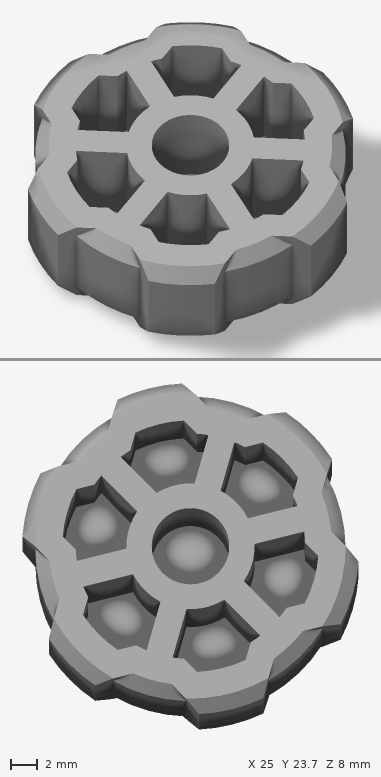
import cadquery as cq

height = 8.0
chamfer = 1.0
lobe_count = 6
lobe_pitch = 360.0 / lobe_count

lobe_radius = 12.5
valley_radius = lobe_radius - 1.0
flank_distance = 8.26

rim_thickness = 3.0
flank_offset = 2.0
spoke_width = 2.0
hub_diameter = 9.5
bore_diameter = 5.75
floor_thickness = 1.0
cavity_depth = height - floor_thickness


def disc(radius, depth, base):
    return cq.Workplane("XY").workplane(offset=base).circle(radius).extrude(depth)


def star(inradius, depth, base):
    """Six-pointed prism of two crossed triangles, with a point toward each lobe."""
    tip_radius = 2 * inradius
    prism = cq.Workplane("XY").workplane(offset=base)
    triangle = prism.polygon(3, 2 * tip_radius).extrude(depth)
    return triangle.union(triangle.rotate((0, 0, 0), (0, 0, 1), lobe_pitch))


def beveled_disc(radius):
    return disc(radius, height, 0).edges("%CIRCLE").chamfer(chamfer)


def lobed_body():
    """Beveled valley disc with six lobes whose flanks stay vertical."""
    lobes = beveled_disc(lobe_radius).intersect(star(flank_distance, height, 0))
    return beveled_disc(valley_radius).union(lobes)


def pockets():
    """Pocket volume that follows the lobed rim, divided by the hub and spokes."""
    lobes = disc(lobe_radius - rim_thickness, cavity_depth, floor_thickness)
    lobes = lobes.intersect(star(flank_distance - flank_offset, cavity_depth, floor_thickness))
    volume = disc(valley_radius - rim_thickness, cavity_depth, floor_thickness).union(lobes)
    volume = volume.cut(disc(hub_diameter / 2, cavity_depth, floor_thickness))

    bar = (
        cq.Workplane("XY")
        .workplane(offset=floor_thickness)
        .rect(2 * lobe_radius, spoke_width)
        .extrude(cavity_depth)
    )
    for index in range(lobe_count // 2):
        angle = (index + 0.5) * lobe_pitch
        volume = volume.cut(bar.rotate((0, 0, 0), (0, 0, 1), angle))
    return volume


bore = disc(bore_diameter / 2, cavity_depth, floor_thickness)

result = lobed_body().cut(pockets()).cut(bore)